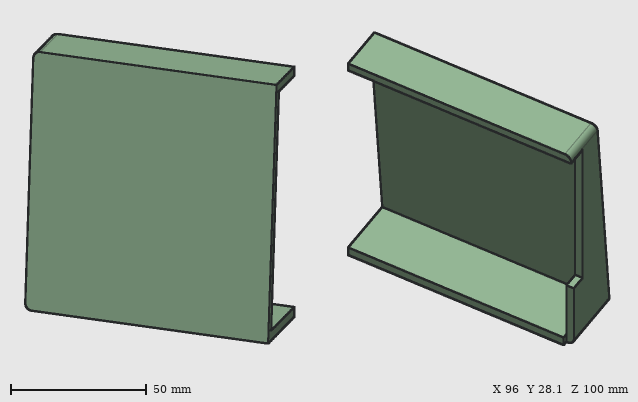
import cadquery as cq

width = 96.0
depth = 28.1
height = 100.0
corner_radius = 2.7

front_setback = 9.0
front_thickness = 3.0
side_thickness = 3.2
top_thickness = 3.6
bottom_thickness = 4.0

side_recess = 8.4
tab_height = 29.6
tab_recess = 2.0


def sloped_outline(y_offset):
    """Side profile from the sloped front, moved back by y_offset, to the rear plane."""
    return (
        cq.Workplane("YZ")
        .polyline([(y_offset, 0), (depth, 0), (depth, height), (front_setback + y_offset, height)])
        .close()
        .extrude(width)
    )


def block(x_size, y_start, z_start, z_end):
    """Box from the left side, running from y_start to the rear plane."""
    return cq.Workplane("XY").box(
        x_size, depth - y_start, z_end - z_start, centered=False
    ).translate((0, y_start, z_start))


rounded_plate = (
    cq.Workplane("XY")
    .box(width, depth, height, centered=False)
    .edges("<X and |Y")
    .fillet(corner_radius)
)
wedge = sloped_outline(0).intersect(rounded_plate)

cavity_limits = cq.Workplane("XY").box(
    width - side_thickness, depth, height - top_thickness - bottom_thickness, centered=False
).translate((side_thickness, 0, bottom_thickness))
cavity = sloped_outline(front_thickness).intersect(cavity_limits)

side_notch = block(side_thickness, depth - side_recess, tab_height, height - top_thickness)
tab_notch = block(side_thickness, depth - tab_recess, 0, tab_height)

result = wedge.cut(cavity).cut(side_notch).cut(tab_notch)